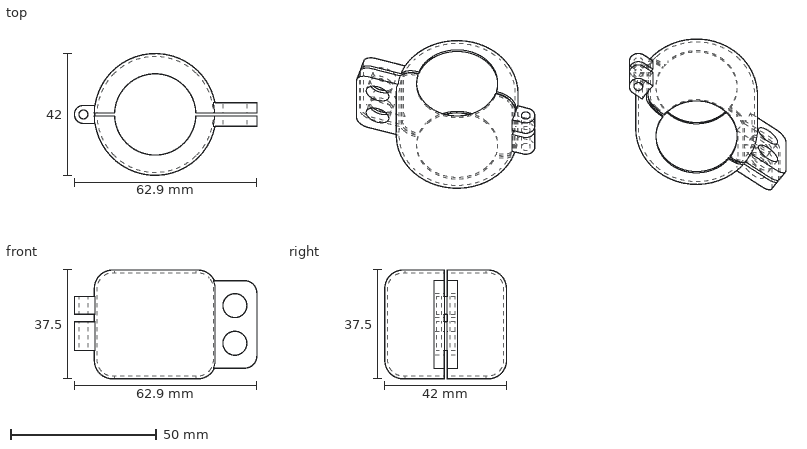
import cadquery as cq

body_radius = 21.0
body_height = 37.5
edge_radius = 6.4
slit_width = 0.95

wall = 1.0
opening_radius = 13.95

knuckle_radius = 3.15
hinge_x = -24.7
pin_radius = 1.5
knuckle_root_x = -20.75
knuckles = [(9.75, 19.75), (22.25, 28.4)]

overall_length = 62.85
ear_end_x = hinge_x - knuckle_radius + overall_length
ear_root_x = 17.6
ear_height = 30.15
ear_outer_y = 4.1
ear_corner_radius = 4.3
bolt_radius = 4.1
bolt_x = 27.4
bolt_spacing = 12.95


def rounded_drum(inset):
    """Body shape shrunk evenly by the inset."""
    return (
        cq.Workplane("XY", origin=(0, 0, inset))
        .circle(body_radius - inset)
        .extrude(body_height - 2 * inset)
        .edges()
        .fillet(edge_radius - inset)
    )


def make_ears():
    ears = (
        cq.Workplane("XY")
        .box(ear_end_x - ear_root_x, 2 * ear_outer_y, ear_height)
        .edges("|Y and >X")
        .fillet(ear_corner_radius)
    )
    return ears.translate(((ear_end_x + ear_root_x) / 2, 0, body_height / 2))


def make_hollow():
    opening = cq.Workplane("XY").circle(opening_radius).extrude(body_height)
    return opening.union(rounded_drum(wall))


def make_bolt_holes():
    return (
        cq.Workplane("XZ", origin=(bolt_x, 0, body_height / 2))
        .rarray(0.6, bolt_spacing, 1, 2)
        .circle(bolt_radius)
        .extrude(2 * ear_outer_y, both=True)
    )


def make_knuckle(bottom, top):
    return (
        cq.Workplane("XY", origin=(0, 0, bottom))
        .moveTo(knuckle_root_x, knuckle_radius)
        .lineTo(hinge_x, knuckle_radius)
        .threePointArc((hinge_x - knuckle_radius, 0), (hinge_x, -knuckle_radius))
        .lineTo(knuckle_root_x, -knuckle_radius)
        .close()
        .moveTo(hinge_x, 0)
        .circle(pin_radius)
        .extrude(top - bottom)
    )


def make_slit():
    return cq.Workplane("XY").box(
        4 * body_radius, slit_width, body_height, centered=(True, True, False)
    )


result = rounded_drum(0).union(make_ears())
result = result.cut(make_hollow()).cut(make_bolt_holes()).cut(make_slit())
for bottom, top in knuckles:
    result = result.union(make_knuckle(bottom, top))